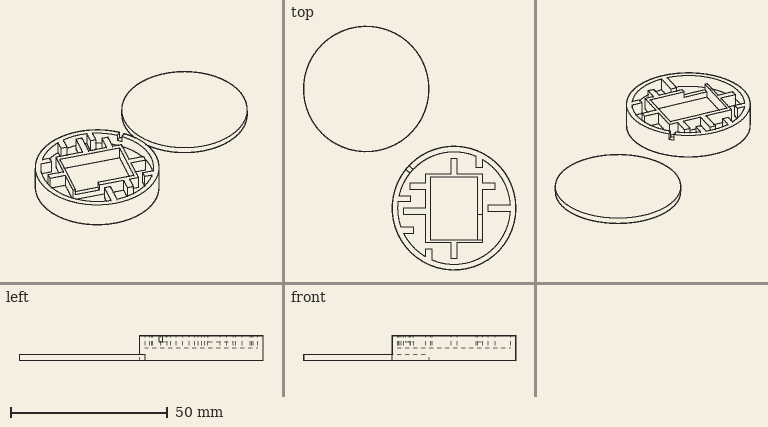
import cadquery as cq

case_diameter = 39.5
case_height = 8.0
rim_thickness = 1.8
cavity_depth = 4.0
floor_height = case_height - cavity_depth
cavity_radius = case_diameter / 2 - rim_thickness

holder_length_x = 18.1
holder_length_y = 21.9
pocket_length_x = 15.1
pocket_length_y = 20.0
pocket_center_y = -0.12
holder_x = holder_length_x / 2
holder_y = holder_length_y / 2
pocket_bottom_y = pocket_center_y - pocket_length_y / 2

step_depth = 2.0
step_top_y = -2.1

rib_width = 2.0
long_rib_end = 16.1
top_rib_end = 15.85
upper_rib_y = 7.0
upper_left_rib_end = 14.1
upper_right_rib_end = 13.05
lower_left_rib_y = -1.0
rim_rib_upper_y = 3.0
rim_rib_upper_width = 1.8
rim_rib_upper_end = 13.9
rim_rib_lower_y = -7.0
rim_rib_lower_end = 13.0
rim_rib_right_end = 10.9
rim_rib_x = 8.1
rim_rib_y_end = 13.0

slot_width = 1.55
slot_depth = 2.0
slot_angle = 139.0

lid_diameter = 40.0
lid_thickness = 2.0
overall_length_y = 77.7
lid_center_x = -28.0
lid_center_y = overall_length_y - (case_diameter + lid_diameter) / 2


def block(x_range, y_range, z_range):
    """Box between the given limits on each axis."""
    (x0, x1), (y0, y1), (z0, z1) = x_range, y_range, z_range
    return cq.Workplane("XY").box(x1 - x0, y1 - y0, z1 - z0, centered=False).translate((x0, y0, z0))


def around(center, width):
    """Limits of a width centred on a position."""
    return (center - width / 2, center + width / 2)


def cavity_rib(x_range, y_range):
    """Rib rising from the case floor to the level of the rim."""
    return block(x_range, y_range, (floor_height, case_height))


def make_cup():
    cup = cq.Workplane("XY").circle(case_diameter / 2).extrude(case_height)
    cavity = cq.Workplane("XY").workplane(offset=floor_height).circle(cavity_radius).extrude(cavity_depth)
    return cup.cut(cavity)


def make_holder():
    holder = cavity_rib((-holder_x, holder_x), (-holder_y, holder_y))
    holder_ribs = [
        cavity_rib(around(0, rib_width), (0, top_rib_end)),
        cavity_rib(around(0, rib_width), (-long_rib_end, 0)),
        cavity_rib((-upper_left_rib_end, 0), around(upper_rib_y, rib_width)),
        cavity_rib((0, upper_right_rib_end), around(upper_rib_y, rib_width)),
        cavity_rib((-long_rib_end, 0), around(lower_left_rib_y, rib_width)),
    ]
    for rib in holder_ribs:
        holder = holder.union(rib)
    pocket = cavity_rib(around(0, pocket_length_x), around(pocket_center_y, pocket_length_y))
    step = block((0, holder_x), (pocket_bottom_y, step_top_y), (case_height - step_depth, case_height))
    return holder.cut(pocket).cut(step)


def make_rim_ribs():
    """Ribs that run past the rim's inner face, trimmed to the case outline."""
    outer = case_diameter / 2
    ribs = [
        cavity_rib((-outer, -rim_rib_upper_end), around(rim_rib_upper_y, rim_rib_upper_width)),
        cavity_rib((-outer, -rim_rib_lower_end), around(rim_rib_lower_y, rib_width)),
        cavity_rib((rim_rib_right_end, outer), around(0, rib_width)),
        cavity_rib(around(rim_rib_x, rib_width), (rim_rib_y_end, outer)),
        cavity_rib(around(-rim_rib_x, rib_width), (-outer, -rim_rib_y_end)),
    ]
    outline = cq.Workplane("XY").circle(outer).extrude(case_height)
    return [rib.intersect(outline) for rib in ribs]


def make_rim_slot():
    slot_start = cavity_radius - rim_thickness / 2
    slot_end = case_diameter / 2 + rim_thickness / 2
    slot = block((slot_start, slot_end), around(0, slot_width), (case_height - slot_depth, case_height))
    return slot.rotate((0, 0, 0), (0, 0, 1), slot_angle)


def make_case():
    case = make_cup().union(make_holder())
    for rib in make_rim_ribs():
        case = case.union(rib)
    return case.cut(make_rim_slot())


def make_lid():
    return cq.Workplane("XY").center(lid_center_x, lid_center_y).circle(lid_diameter / 2).extrude(lid_thickness)


case = make_case()
lid = make_lid()

result = cq.Compound.makeCompound([case.val(), lid.val()])